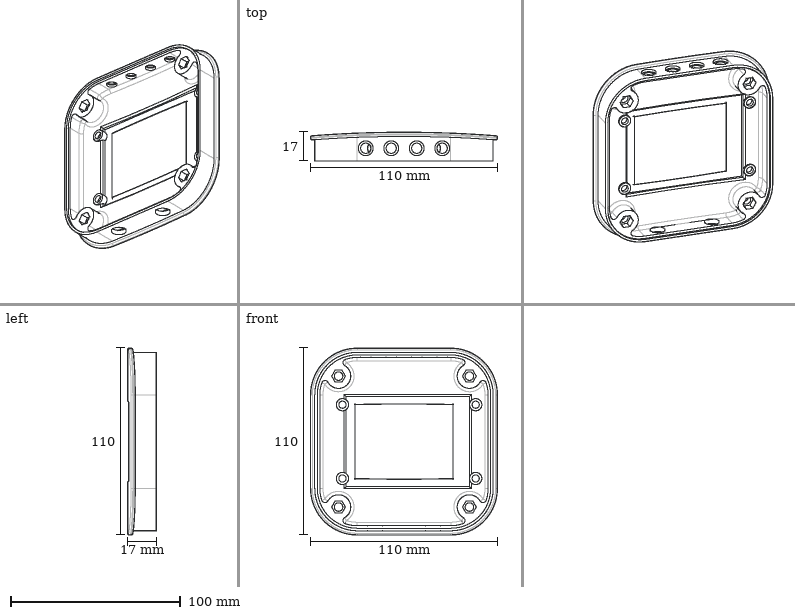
import cadquery as cq
import math

depth = 17.0
crown_radius = 700.0

flange_side = 110.0
flange_corner = 27.5
flange_thickness = 2.5
flange_round = 1.0

flange_overhang = 2.5
wall_thickness = 3.0
rabbet_inset = wall_thickness / 2
rabbet_depth = 1.5
face_thickness = 4.0
pocket_round = 2.0

corner_boss_offset = 38.5
corner_boss_radius = 7.2
nut_flats = 7.0
nut_depth = 5.0
bolt_diameter = 5.0
bolt_depth = 9.0

window_width = 57.4
window_height = 43.5
window_bow = 0.3

recess_center_x = 2.25
recess_width = 72.5
recess_height = 53.0
recess_chamfer = 1.1
recess_floor_y = 15.0

display_center_x = 3.0
display_post_spacing_x = 78.4
display_post_spacing_z = 43.4
display_post_diameter = 7.2
display_post_y = 11.0
display_hole_diameter = 4.2
display_hole_depth = 2.5

port_y = 7.5
port_diameter = 8.7
button_hole_diameter = 6.0
button_seat_depth = 1.5
button_pitch = 15.0
button_count = 4
bottom_port_spacing = 34.0

drill_point_angle = 118.0
tolerance = 0.01

wall_side = flange_side - 2 * flange_overhang
wall_corner = flange_corner - flange_overhang
rabbet_side = wall_side - 2 * rabbet_inset
rabbet_corner = wall_corner - rabbet_inset
pocket_side = wall_side - 2 * wall_thickness
pocket_corner = wall_corner - wall_thickness
crown_center_y = depth - crown_radius


def front_plane(y):
    """Sketch plane facing -Y; its x and y are the part's X and Z."""
    return cq.Workplane("XZ", origin=(0, y, 0))


def rounded_square(side, corner, y_start, y_end):
    """Square plate with rounded corners between two Y levels."""
    plate = front_plane(y_start).rect(side, side).extrude(y_start - y_end)
    return plate.edges("|Y").fillet(corner)


def crown(offset):
    """Cylinder along Z lying the given distance under the crowned face."""
    cylinder = cq.Workplane("XY", origin=(0, crown_center_y, 0)).circle(crown_radius - offset)
    return cylinder.extrude(flange_side, both=True)


def drilled_hole(x, z, y_start, hole_depth, diameter):
    """Blind hole along +Y with a conical drill point."""
    radius = diameter / 2
    point = radius / math.tan(math.radians(drill_point_angle / 2))
    hole = (
        cq.Workplane("XY")
        .moveTo(0, 0)
        .lineTo(radius, 0)
        .lineTo(radius, hole_depth)
        .lineTo(0, hole_depth + point)
        .close()
        .revolve(360, (0, 0, 0), (0, 1, 0))
    )
    return hole.translate((x, y_start, z))


def corner_boss_places():
    return [(sx * corner_boss_offset, sz * corner_boss_offset) for sx in (-1, 1) for sz in (-1, 1)]


def display_post_places():
    half_x = display_post_spacing_x / 2
    half_z = display_post_spacing_z / 2
    return [(display_center_x + sx * half_x, sz * half_z) for sx in (-1, 1) for sz in (-1, 1)]


def make_shell():
    """Side wall and rounded crowned flange, still solid inside."""
    wall = rounded_square(wall_side, wall_corner, 0, depth).intersect(crown(flange_thickness / 2))
    flange = rounded_square(flange_side, flange_corner, 0, depth)
    flange = flange.intersect(crown(0)).cut(crown(flange_thickness))
    flange = flange.edges("not |Y").fillet(flange_round)
    return wall.union(flange)


def is_boss_to_wall_edge(edge):
    """True for an upright edge lying on both a corner boss and a rounded pocket corner."""
    x = abs(edge.Center().x)
    z = abs(edge.Center().z)
    corner_center = pocket_side / 2 - pocket_corner
    boss_gap = math.hypot(x - corner_boss_offset, z - corner_boss_offset) - corner_boss_radius
    wall_gap = math.hypot(x - corner_center, z - corner_center) - pocket_corner
    return max(abs(boss_gap), abs(wall_gap)) < tolerance


def make_pocket():
    """Inner cavity around the corner bosses, rounded at its floor and where bosses meet the wall."""
    blank = rounded_square(pocket_side, pocket_corner, 0, depth)
    bosses = front_plane(0).pushPoints(corner_boss_places()).circle(corner_boss_radius).extrude(-depth)
    pocket = blank.cut(bosses).intersect(crown(face_thickness))
    upright_edges = pocket.edges("|Y").filter(is_boss_to_wall_edge).vals()
    floor_edges = pocket.faces(">Y").edges().vals()
    return pocket.newObject(upright_edges + floor_edges).fillet(pocket_round)


def inner_face_y(x):
    """Height of the crowned inner face at a given X."""
    return crown_center_y + math.sqrt((crown_radius - face_thickness) ** 2 - x**2)


def make_recess():
    """Flat-floored display recess whose mouth in the crowned inner face has 45 degree sides."""
    well = front_plane(0).center(recess_center_x, 0).rect(recess_width, recess_height)
    well = well.extrude(-recess_floor_y)

    face_radius = crown_radius - face_thickness
    overshoot = 1.0
    tip_z = recess_height / 2
    base_z = tip_z + recess_chamfer + overshoot
    long_slopes = (
        cq.Workplane("XY")
        .polyline(
            [
                (face_radius + recess_chamfer, -tip_z),
                (face_radius + recess_chamfer, tip_z),
                (face_radius - overshoot, base_z),
                (face_radius - overshoot, -base_z),
            ]
        )
        .close()
        .revolve(360, (0, 0, 0), (0, 1, 0))
        .rotate((0, 0, 0), (1, 0, 0), 90)
        .translate((0, crown_center_y, 0))
    )

    left = recess_center_x - recess_width / 2
    right = recess_center_x + recess_width / 2
    spread = recess_chamfer + overshoot
    short_slopes = (
        cq.Workplane("XY")
        .polyline(
            [
                (left - spread, inner_face_y(left) - overshoot),
                (left, inner_face_y(left) + recess_chamfer),
                (left, depth),
                (right, depth),
                (right, inner_face_y(right) + recess_chamfer),
                (right + spread, inner_face_y(right) - overshoot),
            ]
        )
        .close()
        .extrude(flange_side, both=True)
    )
    return well.union(long_slopes.intersect(short_slopes))


def make_window():
    """Display window with slightly bowed long edges, opening outward at 45 degrees."""
    half_width = window_width / 2
    half_height = window_height / 2
    throat = (
        front_plane(recess_floor_y)
        .moveTo(-half_width, -half_height)
        .threePointArc((0, -half_height - window_bow), (half_width, -half_height))
        .lineTo(half_width, half_height)
        .threePointArc((0, half_height + window_bow), (-half_width, half_height))
        .close()
    )
    return throat.extrude(recess_floor_y - depth, taper=-45)


def make_display_posts():
    """Screw posts standing on the inner face beside the recess."""
    return (
        front_plane(display_post_y)
        .pushPoints(display_post_places())
        .circle(display_post_diameter / 2)
        .extrude(display_post_y - recess_floor_y - tolerance)
    )


def cut_nut_bores(body):
    """Hexagonal nut pocket and blind bolt hole in every corner boss."""
    across_corners = nut_flats / math.cos(math.radians(30))
    nuts = (
        front_plane(0)
        .pushPoints(corner_boss_places())
        .polygon(6, across_corners)
        .extrude(-rabbet_depth - nut_depth)
    )
    body = body.cut(nuts)
    for x, z in corner_boss_places():
        body = body.cut(drilled_hole(x, z, rabbet_depth, bolt_depth, bolt_diameter))
    return body


def wall_holes(xs, diameter, z_start, z_end):
    """Round holes along Z through part of the upper or lower wall."""
    places = [(x, port_y) for x in xs]
    plane = cq.Workplane("XY", origin=(0, 0, z_start))
    return plane.pushPoints(places).circle(diameter / 2).extrude(z_end - z_start)


def cut_wall_holes(body):
    """Seated button holes in the upper wall and two plain ports in the lower wall."""
    wall_outside = wall_side / 2
    wall_inside = wall_outside - wall_thickness
    first = -(button_count - 1) * button_pitch / 2
    buttons = [first + i * button_pitch for i in range(button_count)]
    ports = [-bottom_port_spacing / 2, bottom_port_spacing / 2]
    body = body.cut(wall_holes(buttons, port_diameter, wall_outside - button_seat_depth, wall_outside))
    body = body.cut(wall_holes(buttons, button_hole_diameter, wall_inside, wall_outside))
    return body.cut(wall_holes(ports, port_diameter, -wall_outside, -wall_inside))


body = make_shell()
body = body.cut(rounded_square(rabbet_side, rabbet_corner, 0, rabbet_depth))
body = body.cut(make_pocket())
body = body.cut(make_recess())
body = body.union(make_display_posts())
body = body.cut(make_window())
body = cut_nut_bores(body)
for post_x, post_z in display_post_places():
    body = body.cut(
        drilled_hole(post_x, post_z, display_post_y, display_hole_depth, display_hole_diameter)
    )
result = cut_wall_holes(body)